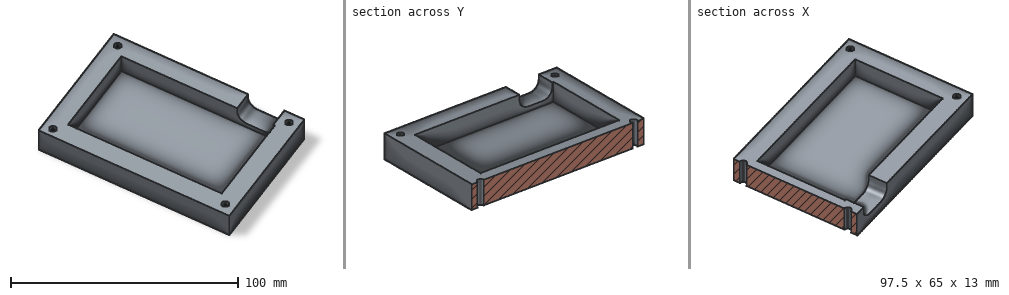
import cadquery as cq

length = 97.5
width = 65.0
height = 13.0

wall = 9.5
floor_thickness = 3.0

channel_width = 18.5
channel_depth = 7.5
channel_corner_radius = 5.0
channel_center_x = 29.25

hole_diameter = 3.4
hole_inset = 5.0
front_left_hole_inset_y = 3.97


def make_block():
    return cq.Workplane("XY").box(length, width, height, centered=(True, True, False))


def make_pocket():
    return (
        cq.Workplane("XY")
        .workplane(offset=floor_thickness)
        .rect(length - 2 * wall, width - 2 * wall)
        .extrude(height - floor_thickness)
    )


def make_channel():
    center_y = width / 2 - wall / 2
    bottom_z = height - channel_depth
    return (
        cq.Workplane("XY")
        .workplane(offset=bottom_z)
        .center(channel_center_x, center_y)
        .rect(channel_width, wall)
        .extrude(channel_depth)
        .edges("|Y and <Z")
        .fillet(channel_corner_radius)
    )


def make_holes():
    hole_x = length / 2 - hole_inset
    hole_y = width / 2 - hole_inset
    front_left_hole_y = width / 2 - front_left_hole_inset_y
    centers = [
        (-hole_x, hole_y),
        (hole_x, hole_y),
        (-hole_x, -front_left_hole_y),
        (hole_x, -hole_y),
    ]
    return cq.Workplane("XY").pushPoints(centers).circle(hole_diameter / 2).extrude(height)


result = make_block().cut(make_pocket()).cut(make_channel()).cut(make_holes())